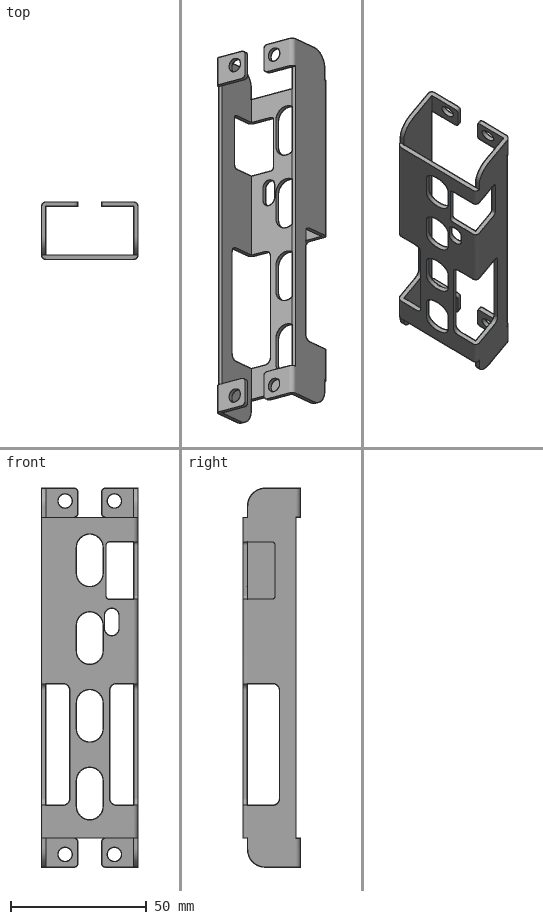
import cadquery as cq

length = 139.7
width = 35.6
depth = 21.2
thickness = 1.7
bend_radius = thickness

lip_height = 10.8
lip_gap = 8.7
lip_corner_radius = 1.5
lip_hole_diameter = 5.2
lip_hole_spacing = 18.2
lip_hole_end_distance = 4.7
wall_corner_radius = 6.5

slot_count = 4
slot_width = 9.8
slot_height = 19.3
slot_pitch = 28.6
slot_row_center_z = 0.3

small_slot_width = 5.3
small_slot_height = 10.0
small_slot_x = 8.1
small_slot_z = 20.5

large_window_web_x = 7.4
large_window_depth = 13.4
large_window_bottom = -47.0
large_window_top = -2.2
large_window_radius = 2.4

small_window_web_x = 6.0
small_window_depth = 11.9
small_window_bottom = 28.9
small_window_top = 50.0
small_window_radius = 1.3

front_y = -depth / 2
back_y = depth / 2
end_z = length / 2
web_half_height = end_z - lip_height
lip_hole_z = end_z - lip_hole_end_distance
wall_x = width / 2
overcut = 1.4


def box(x_range, y_range, z_range):
    """Axis-aligned box spanning the given (low, high) ranges."""
    low, high = zip(x_range, y_range, z_range)
    size = [b - a for a, b in zip(low, high)]
    return cq.Workplane("XY").box(*size, centered=False).translate(low)


def make_channel():
    """Full-length C channel with bent corners and the gap between the lips."""
    outer = cq.Workplane("XY").box(width, depth, length).edges("|Z").fillet(bend_radius)
    inner = cq.Workplane("XY").box(width - 2 * thickness, depth - 2 * thickness, length)
    gap = box((-lip_gap / 2, lip_gap / 2), (0, back_y + overcut), (-end_z, end_z))
    return outer.cut(inner).cut(gap)


def trim_ends_and_back(body):
    """Remove the web at both ends and the lips between the ends, bends included."""
    full_x = (-wall_x - overcut, wall_x + overcut)
    front_band = (front_y - overcut, front_y + bend_radius)
    back_band = (back_y - bend_radius, back_y + overcut)
    body = body.cut(box(full_x, front_band, (web_half_height, end_z + overcut)))
    body = body.cut(box(full_x, front_band, (-end_z - overcut, -web_half_height)))
    return body.cut(box(full_x, back_band, (-web_half_height, web_half_height)))


def round_corners(body):
    """Round the front corners of the walls and the free corners of the lips."""
    wall_front_y = front_y + bend_radius
    for z in (-end_z, end_z):
        for x in (-wall_x + thickness / 2, wall_x - thickness / 2):
            corner = cq.selectors.NearestToPointSelector((x, wall_front_y, z))
            body = body.edges("|X").edges(corner).fillet(wall_corner_radius)
    for z in (-end_z, -web_half_height, web_half_height, end_z):
        for x in (-lip_gap / 2, lip_gap / 2):
            corner = cq.selectors.NearestToPointSelector((x, back_y - thickness / 2, z))
            body = body.edges("|Y").edges(corner).fillet(lip_corner_radius)
    return body


def cut_lip_holes(body):
    """Drill one round hole through each lip."""
    holes = (
        cq.Workplane("XZ", origin=(0, back_y + overcut, 0))
        .rect(lip_hole_spacing, 2 * lip_hole_z, forConstruction=True)
        .vertices()
        .circle(lip_hole_diameter / 2)
        .extrude(thickness + 2 * overcut)
    )
    return body.cut(holes)


def cut_web_slot(body, x, z, slot_w, slot_h):
    """Cut an upright round-ended slot through the web."""
    slot = (
        cq.Workplane("XZ", origin=(0, front_y + thickness + overcut, 0))
        .center(x, z)
        .slot2D(slot_h, slot_w, 90)
        .extrude(thickness + 2 * overcut)
    )
    return body.cut(slot)


def cut_corner_window(body, side, web_x, window_depth, bottom, top, radius):
    """Open the bend on one side (+1 or -1), cutting into the web and the wall."""
    x_range = sorted((side * web_x, side * (wall_x + overcut)))
    z_range = (bottom, top)
    web_edge = "<X" if side > 0 else ">X"
    web_part = box(x_range, (front_y - overcut, front_y + thickness), z_range)
    web_part = web_part.faces(web_edge).edges("|Y").fillet(radius)
    wall_x_range = sorted((side * (wall_x - thickness), side * (wall_x + overcut)))
    wall_part = box(wall_x_range, (front_y - overcut, front_y + window_depth), z_range)
    wall_part = wall_part.faces(">Y").edges("|X").fillet(radius)
    return body.cut(web_part).cut(wall_part)


result = make_channel()
result = trim_ends_and_back(result)
result = round_corners(result)
result = cut_lip_holes(result)

for index in range(slot_count):
    slot_z = slot_row_center_z + (index - (slot_count - 1) / 2) * slot_pitch
    result = cut_web_slot(result, 0, slot_z, slot_width, slot_height)
result = cut_web_slot(result, small_slot_x, small_slot_z, small_slot_width, small_slot_height)

for wall_side in (-1, 1):
    result = cut_corner_window(
        result,
        wall_side,
        large_window_web_x,
        large_window_depth,
        large_window_bottom,
        large_window_top,
        large_window_radius,
    )
result = cut_corner_window(
    result,
    1,
    small_window_web_x,
    small_window_depth,
    small_window_bottom,
    small_window_top,
    small_window_radius,
)